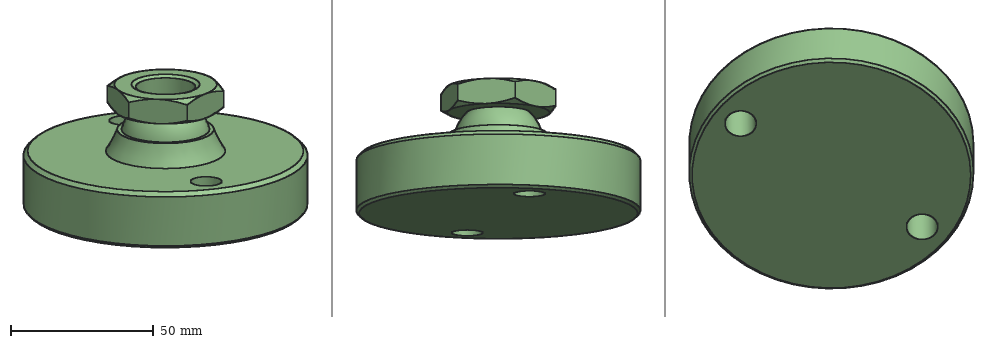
import cadquery as cq
import math

plate_diameter = 100.0
plate_height = 20.5
plate_top_chamfer = 1.5
plate_bottom_chamfer = 1.0
bolt_hole_diameter = 11.0
bolt_hole_spacing = 78.0
collar_base_radius = 21.0
collar_top_radius = 17.0
collar_height = 8.0
collar_sag = 0.3
collar_top = plate_height + collar_height

total_height = 45.0
hex_across_flats = 36.0
hex_height = 9.0
hex_chamfer_angle = math.radians(30)
ball_radius = 16.0
ball_center_height = 24.5
bore_diameter = 21.0
bore_mouth_diameter = 24.0
bore_mouth_slope = math.radians(30)
bore_depth = 25.0
drill_point_angle = math.radians(118)
hex_bottom = total_height - hex_height


def make_ball():
    """Full ball, shared by the swivel and the socket that holds it."""
    return cq.Workplane("XY").sphere(ball_radius).translate((0, 0, ball_center_height))


def make_collar():
    """Concave flared ring, revolved about Z."""
    flank_run = collar_base_radius - collar_top_radius
    flank_length = math.hypot(flank_run, collar_height)
    flank_middle = (
        (collar_base_radius + collar_top_radius) / 2 - collar_sag * collar_height / flank_length,
        plate_height + collar_height / 2 - collar_sag * flank_run / flank_length,
    )
    return (
        cq.Workplane("XZ")
        .moveTo(0, plate_height)
        .lineTo(collar_base_radius, plate_height)
        .threePointArc(flank_middle, (collar_top_radius, collar_top))
        .lineTo(0, collar_top)
        .close()
        .revolve(360, (0, 0, 0), (0, 1, 0))
    )


def make_foot():
    plate = (
        cq.Workplane("XY")
        .circle(plate_diameter / 2)
        .extrude(plate_height)
        .faces(">Z")
        .chamfer(plate_top_chamfer)
        .faces("<Z")
        .chamfer(plate_bottom_chamfer)
    )
    bolt_holes = (
        cq.Workplane("XY")
        .pushPoints([(-bolt_hole_spacing / 2, 0), (bolt_hole_spacing / 2, 0)])
        .circle(bolt_hole_diameter / 2)
        .extrude(plate_height)
    )
    return plate.union(make_collar()).cut(bolt_holes).cut(make_ball())


def make_hexagon():
    """Hexagon with corners on the X axis, its top and bottom corners turned to a cone."""
    flat_radius = hex_across_flats / 2
    corner_radius = flat_radius / math.cos(math.pi / 6)
    corner_drop = (corner_radius - flat_radius) * math.tan(hex_chamfer_angle)
    prism = (
        cq.Workplane("XY", origin=(0, 0, hex_bottom))
        .polygon(6, 2 * corner_radius)
        .extrude(hex_height)
    )
    turned_blank = (
        cq.Workplane("XZ")
        .moveTo(0, hex_bottom)
        .lineTo(flat_radius, hex_bottom)
        .lineTo(corner_radius, hex_bottom + corner_drop)
        .lineTo(corner_radius, total_height - corner_drop)
        .lineTo(flat_radius, total_height)
        .lineTo(0, total_height)
        .close()
        .revolve(360, (0, 0, 0), (0, 1, 0))
    )
    return prism.intersect(turned_blank)


def make_bore():
    """Blind bore with a flared mouth and a conical drill point."""
    bore_radius = bore_diameter / 2
    mouth_radius = bore_mouth_diameter / 2
    bore_bottom = total_height - bore_depth
    mouth_depth = (mouth_radius - bore_radius) * math.tan(bore_mouth_slope)
    point_depth = bore_radius / math.tan(drill_point_angle / 2)
    return (
        cq.Workplane("XZ")
        .moveTo(0, bore_bottom - point_depth)
        .lineTo(bore_radius, bore_bottom)
        .lineTo(bore_radius, total_height - mouth_depth)
        .lineTo(mouth_radius, total_height)
        .lineTo(0, total_height)
        .close()
        .revolve(360, (0, 0, 0), (0, 1, 0))
    )


def make_swivel():
    above_hex_bottom = (
        cq.Workplane("XY", origin=(0, 0, hex_bottom))
        .circle(ball_radius)
        .extrude(hex_height)
    )
    return make_ball().cut(above_hex_bottom).union(make_hexagon()).cut(make_bore())


foot = make_foot()
swivel = make_swivel()
result = cq.Compound.makeCompound([foot.val(), swivel.val()])